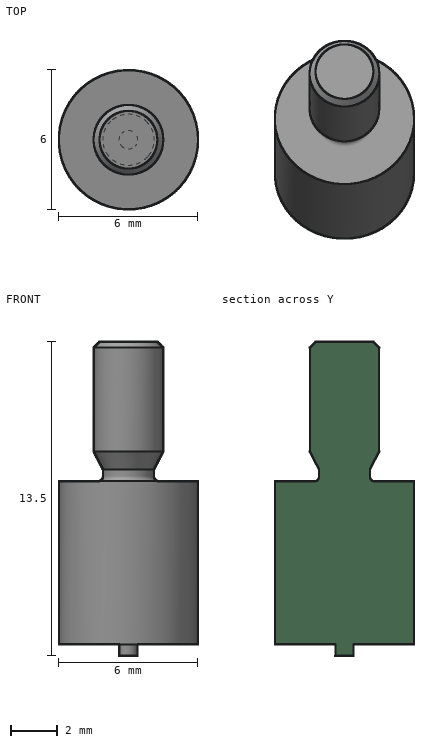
import cadquery as cq

total_height = 13.5
body_diameter = 6.0
body_height = 7.0
pin_diameter = 0.8
pin_length = 0.5
stud_diameter = 3.0
tip_chamfer = 0.25
neck_diameter = 2.2
neck_length = 0.5
neck_fillet = 0.2
taper_length = 0.77

body_bottom = pin_length
body_top = body_bottom + body_height
neck_top = body_top + neck_length
taper_top = neck_top + taper_length


def cylinder(diameter, bottom, top):
    """Cylinder about the Z axis between two levels."""
    return cq.Workplane("XY").workplane(offset=bottom).circle(diameter / 2).extrude(top - bottom)


def neck_and_taper():
    """Neck flared by a fillet into the body, widening through a cone to the stud."""
    neck_radius = neck_diameter / 2
    return (
        cq.Workplane("XZ")
        .moveTo(0, body_top)
        .lineTo(neck_radius + neck_fillet, body_top)
        .radiusArc((neck_radius, body_top + neck_fillet), neck_fillet)
        .lineTo(neck_radius, neck_top)
        .lineTo(stud_diameter / 2, taper_top)
        .lineTo(0, taper_top)
        .close()
        .revolve(360, (0, 0, 0), (0, 1, 0))
    )


pin = cylinder(pin_diameter, 0, body_bottom)
body = cylinder(body_diameter, body_bottom, body_top)
stud = cylinder(stud_diameter, taper_top, total_height).faces(">Z").chamfer(tip_chamfer)

result = pin.union(body).union(neck_and_taper()).union(stud)